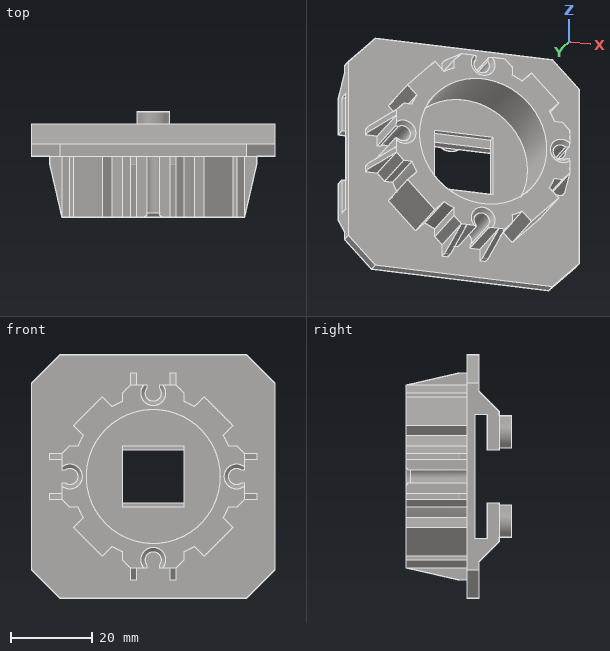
import cadquery as cq

PLATE_SIZE = 60.0
PLATE_THICKNESS = 3.0
CORNER_CHAMFER = 7.0

SOCKET_DEPTH = 15.0
SOCKET_RADIUS = 20.0
BORE_RADIUS = 16.5

LOBE_WIDTH = 15.1
LOBE_REACH = 22.5
LOBE_CHAMFER = 1.9

PAD_WIDTH = 10.0
PAD_REACH = 22.75

RIB_THICKNESS = 1.5
RIB_REACH = 25.5
RIB_STRAIGHT = 2.0

SCREW_OFFSET = 20.5
SCREW_RADIUS = 2.0
COUNTERSINK_RADIUS = 3.05
GROOVE_OPENING = 3.1

WINDOW_SIZE = 15.1

RAIL_BACK = 8.0
RAIL_THICKNESS = 3.0
RAIL_CHANNEL_FRONT = 2.05
RAIL_CHANNEL_HALF_HEIGHT = 15.25
RAIL_GAP_HALF_HEIGHT = 6.5
RAIL_FOOT_HALF_HEIGHT = 21.0
PIN_RADIUS = 4.0
PIN_LENGTH = 3.0
PIN_OFFSET = 11.0

QUARTER_ANGLES = [0, 90, 180, 270]
DIAGONAL_ANGLE = 45


def turned(shape, angle):
    """The shape rotated about the socket axis."""
    return shape.rotate((0, 0, 0), (0, 1, 0), angle)


def make_plate():
    """Square plate with chamfered corners."""
    plate = cq.Workplane("XY").box(PLATE_SIZE, PLATE_THICKNESS, PLATE_SIZE)
    plate = plate.edges("|Y").chamfer(CORNER_CHAMFER)
    return plate.translate((0, PLATE_THICKNESS / 2, 0))


def make_rails():
    """Two mirrored hooked rails over the full plate width, each with its pin."""
    slope_height = RAIL_BACK - PLATE_THICKNESS
    shoulder = RAIL_FOOT_HALF_HEIGHT - slope_height
    channel_back = RAIL_BACK - RAIL_THICKNESS
    upper_hook = (
        cq.Workplane("YZ", origin=(-PLATE_SIZE / 2, 0, 0))
        .moveTo(RAIL_CHANNEL_FRONT, RAIL_FOOT_HALF_HEIGHT)
        .lineTo(PLATE_THICKNESS, RAIL_FOOT_HALF_HEIGHT)
        .lineTo(RAIL_BACK, shoulder)
        .lineTo(RAIL_BACK, RAIL_GAP_HALF_HEIGHT)
        .lineTo(channel_back, RAIL_GAP_HALF_HEIGHT)
        .lineTo(channel_back, RAIL_CHANNEL_HALF_HEIGHT)
        .lineTo(RAIL_CHANNEL_FRONT, RAIL_CHANNEL_HALF_HEIGHT)
        .close()
        .extrude(PLATE_SIZE)
    )
    pin = (
        cq.Workplane("XZ", origin=(0, RAIL_BACK, 0))
        .center(0, PIN_OFFSET)
        .circle(PIN_RADIUS)
        .extrude(-PIN_LENGTH)
    )
    upper_rail = upper_hook.union(pin)
    return upper_rail.union(upper_rail.mirror("XY"))


def make_channel():
    """Recess in the plate's back face between the rails."""
    depth = PLATE_THICKNESS - RAIL_CHANNEL_FRONT
    channel = cq.Workplane("XY").box(PLATE_SIZE, depth, 2 * RAIL_CHANNEL_HALF_HEIGHT)
    return channel.translate((0, RAIL_CHANNEL_FRONT + depth / 2, 0))


def make_block(width, reach):
    """Block from the socket axis out to reach along +Z, as deep as the socket."""
    block = cq.Workplane("XY").box(width, SOCKET_DEPTH, reach)
    return block.translate((0, -SOCKET_DEPTH / 2, reach / 2))


def make_rib_pair():
    """Two ribs on the upper lobe, tapering down to the lobe's face at the tip."""
    outer_side = LOBE_WIDTH / 2 - LOBE_CHAMFER
    rib = (
        cq.Workplane("YZ", origin=(outer_side - RIB_THICKNESS, 0, 0))
        .moveTo(0, BORE_RADIUS)
        .lineTo(0, RIB_REACH)
        .lineTo(-RIB_STRAIGHT, RIB_REACH)
        .lineTo(-SOCKET_DEPTH, LOBE_REACH)
        .lineTo(-SOCKET_DEPTH, BORE_RADIUS)
        .close()
        .extrude(RIB_THICKNESS)
    )
    return rib.union(rib.mirror("YZ"))


def make_screw_groove():
    """Countersunk hole in the upper lobe with a slot opening it to the outside."""
    hole = cq.Workplane("XZ").center(0, SCREW_OFFSET).circle(SCREW_RADIUS).extrude(SOCKET_DEPTH)
    slot_height = RIB_REACH - SCREW_OFFSET
    slot = cq.Workplane("XY").box(GROOVE_OPENING, SOCKET_DEPTH, slot_height)
    slot = slot.translate((0, -SOCKET_DEPTH / 2, SCREW_OFFSET + slot_height / 2))
    countersink = cq.Solid.makeCone(
        COUNTERSINK_RADIUS,
        SCREW_RADIUS,
        COUNTERSINK_RADIUS - SCREW_RADIUS,
        pnt=cq.Vector(0, -SOCKET_DEPTH, SCREW_OFFSET),
        dir=cq.Vector(0, 1, 0),
    )
    return hole.union(slot).union(cq.Workplane(countersink))


def make_socket():
    """Ring with side lobes, diagonal pads, ribs, screw grooves and a round bore."""
    lobe = make_block(LOBE_WIDTH, LOBE_REACH).edges("|Y and >Z").chamfer(LOBE_CHAMFER)
    side = lobe.union(make_rib_pair())
    pad = make_block(PAD_WIDTH, PAD_REACH)
    socket = cq.Workplane("XZ").circle(SOCKET_RADIUS).extrude(SOCKET_DEPTH)
    bore = cq.Workplane("XZ").circle(BORE_RADIUS).extrude(SOCKET_DEPTH)
    groove = make_screw_groove()
    for angle in QUARTER_ANGLES:
        socket = socket.union(turned(side, angle))
        socket = socket.union(turned(pad, angle + DIAGONAL_ANGLE))
    for angle in QUARTER_ANGLES:
        socket = socket.cut(turned(groove, angle))
    return socket.cut(bore)


window = cq.Workplane("XY").box(WINDOW_SIZE, 2 * PLATE_THICKNESS, WINDOW_SIZE)

result = (
    make_plate()
    .cut(make_channel())
    .cut(window)
    .union(make_rails())
    .union(make_socket())
)